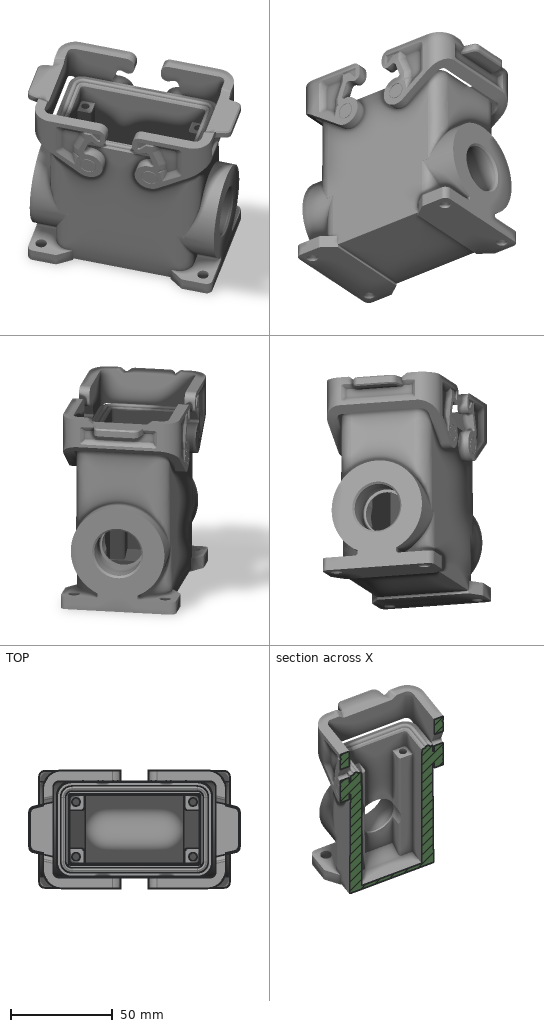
import cadquery as cq
import math

UPPER_HALF_X = 38.3
LOWER_HALF_X = 34.7
BODY_HALF_Y = 23.42
BODY_DRAFT = 0.45
BODY_CORNER = 7.1
BODY_BOTTOM = 1.3
CHAMFER_ANGLE = 45.0
RIM_Z = 80.1

BEAD_HALF_X = 34.95
BEAD_HALF_Y = 20.05
BEAD_RADIUS = 1.25
BEAD_HEIGHT = 1.1
BEAD_CORNER = 4.25
BEAD_ROUNDING = 1.22

MOUTH_HALF_X = 32.6
MOUTH_HALF_Y = 17.6
MOUTH_CORNER = 1.5
MOUTH_CHAMFER = 0.7
MOUTH_STEP = 0.2
POST_TOP_Z = 69.5
FLOOR_Z = 4.0
FLOOR_HALF_X = 24.2
SLOPE_TOP_Z = 7.8

POST_INNER_X = 24.7
POST_INNER_Y = 9.3
POST_CORNER = 1.4
SCREW_X = 28.7
SCREW_Y = 13.45
SCREW_RADIUS = 2.0
SCREW_DEPTH = 10.0

ENTRY_FACE_X = 46.85
ENTRY_Z = 30.0
ENTRY_RADIUS = 23.35
BORE_RADIUS = 11.75
BORE_CHAMFER = 0.95
SHOULDER_X = 32.6
OPENING_RADIUS = 10.35

FOOT_HEIGHT = 6.35
FOOT_HALF_Y = 28.75
FOOT_CORNER = 3.0
FOOT_SHOULDER_X = 31.9
FOOT_SHOULDER_RADIUS = 2.0
FOOT_INNER_X = 24.8
FOOT_HOLE_X = 41.2
FOOT_HOLE_Y = 22.7
FOOT_HOLE_RADIUS = 2.8
WEB_HALF_Y = 9.95
WEB_FILLET = 1.3

LEVER_TOP_Z = 96.9
LEVER_END_X = 44.8
LEVER_HALF_Y = 29.0
LEVER_INNER_X = 39.9
LEVER_INNER_Y = 23.7
LEVER_OUTER_CORNER = 9.2
LEVER_INNER_CORNER = 3.2
LEVER_END_BOTTOM_Z = 82.9
PIVOT_X = 15.65
PIVOT_Z = 71.8
PIVOT_RADIUS = 7.5
PIN_RADIUS = 4.1
PIN_ROOT_Y = 22.0
PIN_GROOVE = 0.3
HOOK_TIP_X = 6.85
HOOK_UPPER_RADIUS = 4.1
HOOK_BOTTOM_Z = 86.9
HOOK_NOSE_X = 10.4
SEAT_START = (-12.6, 87.8)
SEAT_CROWN = (-14.0, 88.1)
SEAT_END = (-15.4, 87.2)
THROAT_BOTTOM = (-17.9, 80.4)
THROAT_MIDDLE = (-17.5, 79.7)

POCKET_OUTER_X = -32.1
POCKET_TOP_Z = 94.3
POCKET_LOWER_Z = 77.1
POCKET_INNER_SIDE = [
    (-17.3, 89.2),
    (-20.6, 81.0),
    (-20.7, 78.0),
    (-19.9, 76.5),
    (-21.0, 76.3),
    (-22.3, 70.8),
]
POCKET_CORNER = 3.5
POCKET_DEPTH = 2.0
POCKET_TAPER = 57.0
TOE_UNDERSIDE = [(-9.3, 89.5), (-10.8, 89.5), (-14.0, 92.9), (-18.0, 92.9)]
TOE_DEPTH = 0.6
TOE_TAPER = 45.0

TAB_TIP_X = 51.75
TAB_BOTTOM_Z = 90.5
TAB_TOP_Z = 94.9
TAB_ROOT_HALF_Y = 13.4
TAB_TIP_HALF_Y = 10.7
TAB_CORNER = 2.9
TAB_CHAMFER = 0.7
NOTCH_FLARE = 2.6
NOTCH_EDGE_RADIUS = 1.5
END_POCKET_HALF_Y = 19.2
END_POCKET_BOTTOM_Z = 84.4
END_POCKET_TOP_Z = 93.3
END_POCKET_CORNER = 1.2
END_POCKET_DEPTH = 1.7
END_POCKET_TAPER = 53.0

SIDES = (-1, 1)


def block(half_x, half_y, bottom, top):
    base = cq.Workplane("XY", origin=(0, 0, bottom)).rect(2 * half_x, 2 * half_y)
    return base.extrude(top - bottom)


def both_ends(shape):
    """Add the copy of a -X feature at the +X end."""
    return shape.union(shape.mirror("YZ"))


def minus_x_space():
    """Block that covers the X < 0 half of the part."""
    return block(TAB_TIP_X, LEVER_HALF_Y, 0, LEVER_TOP_Z).translate((-TAB_TIP_X, 0, 0))


def x_cylinder(radius, start_x, length):
    return cq.Workplane("YZ", origin=(start_x, 0, ENTRY_Z)).circle(radius).extrude(length)


def nearest(point):
    return cq.selectors.NearestToPointSelector(point)


def y_prism(outline, half_y):
    """Extrude an XZ outline symmetrically about Y = 0."""
    return outline.extrude(half_y, both=True)


def make_shell():
    """Drafted body, narrower in X below the cable entry axis."""

    def section(half_x):
        plane = cq.Workplane("XY", origin=(0, 0, ENTRY_Z)).sketch()
        return plane.rect(2 * half_x, 2 * BODY_HALF_Y).vertices().fillet(BODY_CORNER).finalize()

    upper = section(UPPER_HALF_X).extrude(RIM_Z - ENTRY_Z, taper=BODY_DRAFT)
    lower = section(LOWER_HALF_X).extrude(BODY_BOTTOM - ENTRY_Z, taper=-BODY_DRAFT)
    return upper.union(lower)


def make_bead():
    """Rounded sealing bead that runs around the rim."""
    center_z = RIM_Z + BEAD_HEIGHT - BEAD_RADIUS

    def outline(offset):
        shape = block(BEAD_HALF_X + offset, BEAD_HALF_Y + offset, center_z, RIM_Z + BEAD_HEIGHT)
        return shape.edges("|Z").fillet(BEAD_CORNER + offset)

    ring = outline(BEAD_RADIUS)
    hole = outline(-BEAD_RADIUS)
    return ring.cut(hole).faces(">Z").edges().fillet(BEAD_ROUNDING)


def make_foot():
    """Foot plate under the -X cable entry, with its web and two screw holes."""
    flank = [
        (-FOOT_INNER_X, BODY_HALF_Y),
        (-FOOT_SHOULDER_X, FOOT_HALF_Y),
        (-ENTRY_FACE_X, FOOT_HALF_Y),
    ]
    outline = flank + [(x, -y) for x, y in reversed(flank)]
    plate = cq.Workplane("XY").polyline(outline).close().extrude(FOOT_HEIGHT)
    plate = plate.edges("|Z and <X").fillet(FOOT_CORNER)
    for side in SIDES:
        shoulder = (-FOOT_SHOULDER_X, side * FOOT_HALF_Y, FOOT_HEIGHT / 2)
        plate = plate.edges(nearest(shoulder)).fillet(FOOT_SHOULDER_RADIUS)
    web = block(ENTRY_FACE_X, WEB_HALF_Y, FOOT_HEIGHT, ENTRY_Z)
    web = web.intersect(minus_x_space())
    foot = plate.union(web)
    for side in SIDES:
        root = (-(ENTRY_FACE_X + FOOT_INNER_X) / 2, side * WEB_HALF_Y, FOOT_HEIGHT)
        foot = foot.edges(nearest(root)).fillet(WEB_FILLET)
    holes = (
        cq.Workplane("XY")
        .pushPoints([(-FOOT_HOLE_X, side * FOOT_HOLE_Y) for side in SIDES])
        .circle(FOOT_HOLE_RADIUS)
        .extrude(FOOT_HEIGHT)
    )
    return foot.cut(holes)


def make_cavity():
    depth = RIM_Z - POST_TOP_Z
    neck_x = MOUTH_HALF_X - MOUTH_CHAMFER
    neck_y = MOUTH_HALF_Y - MOUTH_CHAMFER
    half_x = neck_x - MOUTH_STEP
    half_y = neck_y - MOUTH_STEP

    def rim_cut(x, y, length, taper):
        plane = cq.Workplane("XY", origin=(0, 0, RIM_Z)).sketch()
        opening = plane.rect(2 * x, 2 * y).vertices().fillet(MOUTH_CORNER).finalize()
        return opening.extrude(-length, taper=taper)

    throat = rim_cut(neck_x, neck_y, depth, math.degrees(math.atan(MOUTH_STEP / depth)))
    throat = throat.union(rim_cut(MOUTH_HALF_X, MOUTH_HALF_Y, MOUTH_CHAMFER, CHAMFER_ANGLE))
    outline = (
        cq.Workplane("XZ")
        .moveTo(-FLOOR_HALF_X, FLOOR_Z)
        .lineTo(FLOOR_HALF_X, FLOOR_Z)
        .lineTo(half_x, SLOPE_TOP_Z)
        .lineTo(half_x, POST_TOP_Z)
        .lineTo(-half_x, POST_TOP_Z)
        .lineTo(-half_x, SLOPE_TOP_Z)
        .close()
    )
    chamber = y_prism(outline, half_y)
    for side_x in SIDES:
        for side_y in SIDES:
            chamber = chamber.cut(make_post(side_x, side_y))
    return throat.union(chamber)


def make_post(side_x, side_y):
    """Corner post whose outer sides run into the housing walls."""
    size_x = LOWER_HALF_X - POST_INNER_X
    size_y = BODY_HALF_Y - POST_INNER_Y
    height = POST_TOP_Z - FLOOR_Z
    post = cq.Workplane("XY").box(size_x, size_y, height).edges("|Z").fillet(POST_CORNER)
    center_x = side_x * (POST_INNER_X + size_x / 2)
    center_y = side_y * (POST_INNER_Y + size_y / 2)
    return post.translate((center_x, center_y, FLOOR_Z + height / 2))


def make_screw_holes():
    return (
        cq.Workplane("XY", origin=(0, 0, POST_TOP_Z))
        .rect(2 * SCREW_X, 2 * SCREW_Y, forConstruction=True)
        .vertices()
        .circle(SCREW_RADIUS)
        .extrude(-SCREW_DEPTH)
    )


def make_entry_bore():
    bore = x_cylinder(BORE_RADIUS, -ENTRY_FACE_X, ENTRY_FACE_X - SHOULDER_X)
    bore = bore.union(x_cylinder(OPENING_RADIUS, -ENTRY_FACE_X, ENTRY_FACE_X))
    mouth = cq.Workplane("YZ", origin=(-ENTRY_FACE_X, 0, ENTRY_Z)).circle(BORE_RADIUS + BORE_CHAMFER)
    return bore.union(mouth.extrude(BORE_CHAMFER, taper=CHAMFER_ANGLE))


def make_housing():
    housing = make_shell()
    housing = housing.union(both_ends(x_cylinder(ENTRY_RADIUS, -ENTRY_FACE_X, ENTRY_FACE_X)))
    housing = housing.union(both_ends(make_foot()))
    housing = housing.union(make_bead())
    housing = housing.cut(make_cavity())
    housing = housing.cut(make_screw_holes())
    return housing.cut(both_ends(make_entry_bore()))


def lever_side_outline():
    """Side outline: end wall, hook at the top, pivot eye at the bottom."""
    run = LEVER_END_X - PIVOT_X
    rise = LEVER_END_BOTTOM_Z - PIVOT_Z
    edge_angle = math.atan2(rise, run) + math.asin(PIVOT_RADIUS / math.hypot(run, rise))
    eye_touch = (
        -PIVOT_X - PIVOT_RADIUS * math.sin(edge_angle),
        PIVOT_Z - PIVOT_RADIUS * math.cos(edge_angle),
    )
    diagonal = math.sqrt(0.5)
    upper_corner = HOOK_UPPER_RADIUS * (1 - diagonal)
    lower_radius = HOOK_NOSE_X - HOOK_TIP_X
    lower_z = HOOK_BOTTOM_Z + lower_radius
    return (
        cq.Workplane("XZ")
        .moveTo(-LEVER_END_X, LEVER_END_BOTTOM_Z)
        .lineTo(-LEVER_END_X, LEVER_TOP_Z)
        .lineTo(-HOOK_TIP_X - HOOK_UPPER_RADIUS, LEVER_TOP_Z)
        .threePointArc(
            (-HOOK_TIP_X - upper_corner, LEVER_TOP_Z - upper_corner),
            (-HOOK_TIP_X, LEVER_TOP_Z - HOOK_UPPER_RADIUS),
        )
        .lineTo(-HOOK_TIP_X, lower_z)
        .threePointArc(
            (-HOOK_NOSE_X + lower_radius * diagonal, lower_z - lower_radius * diagonal),
            (-HOOK_NOSE_X, HOOK_BOTTOM_Z),
        )
        .lineTo(*SEAT_START)
        .threePointArc(SEAT_CROWN, SEAT_END)
        .lineTo(*THROAT_BOTTOM)
        .threePointArc(THROAT_MIDDLE, (-PIVOT_X, PIVOT_Z + PIVOT_RADIUS))
        .threePointArc((-PIVOT_X + PIVOT_RADIUS, PIVOT_Z), (-PIVOT_X, PIVOT_Z - PIVOT_RADIUS))
        .threePointArc(
            (
                -PIVOT_X - PIVOT_RADIUS * math.sin(edge_angle / 2),
                PIVOT_Z - PIVOT_RADIUS * math.cos(edge_angle / 2),
            ),
            eye_touch,
        )
        .close()
    )


def make_lever_frame():
    def plan(end_x, half_y, corner):
        shape = block(end_x, half_y, 0, LEVER_TOP_Z).edges("|Z").fillet(corner)
        return shape.intersect(minus_x_space())

    frame = plan(LEVER_END_X, LEVER_HALF_Y, LEVER_OUTER_CORNER)
    frame = frame.cut(plan(LEVER_INNER_X, LEVER_INNER_Y, LEVER_INNER_CORNER))
    return frame.intersect(y_prism(lever_side_outline(), LEVER_HALF_Y))


def tab_half_y(x):
    slope = (TAB_ROOT_HALF_Y - TAB_TIP_HALF_Y) / (TAB_TIP_X - LEVER_INNER_X)
    return TAB_ROOT_HALF_Y - slope * (x - LEVER_INNER_X)


def tab_plan(end_x, z, spread):
    root = tab_half_y(LEVER_INNER_X) + spread
    tip = tab_half_y(end_x) + spread
    return cq.Workplane("XY", origin=(0, 0, z)).polyline(
        [(-LEVER_INNER_X, -root), (-LEVER_INNER_X, root), (-end_x, tip), (-end_x, -tip)]
    ).close()


def make_tab():
    tab = tab_plan(TAB_TIP_X, TAB_BOTTOM_Z, 0).extrude(TAB_TOP_Z - TAB_BOTTOM_Z)
    tab = tab.edges("|Z and <X").fillet(TAB_CORNER)
    return tab.faces("<Z or >Z").edges("not(>X)").chamfer(TAB_CHAMFER)


def make_tab_notch():
    low = tab_plan(LEVER_END_X, TAB_TOP_Z, 0).wires().val()
    high = tab_plan(LEVER_END_X, LEVER_TOP_Z, NOTCH_FLARE).wires().val()
    return cq.Workplane(cq.Solid.makeLoft([low, high], True))


def make_end_pocket():
    width = 2 * END_POCKET_HALF_Y
    height = END_POCKET_TOP_Z - END_POCKET_BOTTOM_Z
    center_z = (END_POCKET_TOP_Z + END_POCKET_BOTTOM_Z) / 2
    return (
        cq.Workplane("YZ", origin=(-LEVER_END_X, 0, center_z))
        .sketch()
        .rect(width, height)
        .vertices()
        .fillet(END_POCKET_CORNER)
        .finalize()
        .extrude(END_POCKET_DEPTH, taper=END_POCKET_TAPER)
    )


def make_arm_pockets():
    """Tapered pockets in the outer face of the -Y arm: the main one and the hook toe."""
    upper_corner = (POCKET_OUTER_X, POCKET_TOP_Z)
    lower_corner = (POCKET_OUTER_X, POCKET_LOWER_Z)
    main_end = (POCKET_INNER_SIDE[0][0], POCKET_TOP_Z)
    main = [upper_corner, main_end, *POCKET_INNER_SIDE, lower_corner]
    toe_end = (TOE_UNDERSIDE[0][0], POCKET_TOP_Z)
    toe_start = (TOE_UNDERSIDE[-1][0], POCKET_TOP_Z)
    toe = [toe_start, toe_end, *TOE_UNDERSIDE]

    def pocket(points, depth, taper):
        face = cq.Workplane("XZ", origin=(0, -LEVER_HALF_Y, 0)).polyline(points).close()
        return face.extrude(-depth, taper=taper)

    main_pocket = pocket(main, POCKET_DEPTH, POCKET_TAPER)
    for x, z in (upper_corner, lower_corner):
        corner = (x, -LEVER_HALF_Y + POCKET_DEPTH / 2, z)
        main_pocket = main_pocket.edges(nearest(corner)).fillet(POCKET_CORNER)
    return main_pocket.union(pocket(toe, TOE_DEPTH, TOE_TAPER))


def make_pin():
    """Pivot pin joining the -Y arm to the housing."""
    length = LEVER_HALF_Y - PIN_ROOT_Y
    root = cq.Workplane("XZ", origin=(-PIVOT_X, -PIN_ROOT_Y, PIVOT_Z))
    return root.circle(PIN_RADIUS).extrude(length)


def make_pin_groove():
    face = cq.Workplane("XZ", origin=(-PIVOT_X, -LEVER_HALF_Y, PIVOT_Z))
    return face.circle(PIN_RADIUS).circle(PIN_RADIUS - PIN_GROOVE).extrude(-PIN_GROOVE)


def make_lever():
    lever = make_lever_frame().cut(make_end_pocket()).cut(make_tab_notch())
    for side in SIDES:
        edge_x = (LEVER_INNER_X + LEVER_END_X) / 2
        edge_y = side * (tab_half_y(edge_x) + NOTCH_FLARE)
        lever = lever.edges(nearest((-edge_x, edge_y, LEVER_TOP_Z))).fillet(NOTCH_EDGE_RADIUS)
    arm_cut = make_arm_pockets().union(make_pin_groove())
    pin = make_pin()
    lever = lever.union(pin).union(pin.mirror("XZ"))
    lever = lever.cut(arm_cut).cut(arm_cut.mirror("XZ"))
    return lever.union(make_tab())


result = make_housing().union(both_ends(make_lever()))